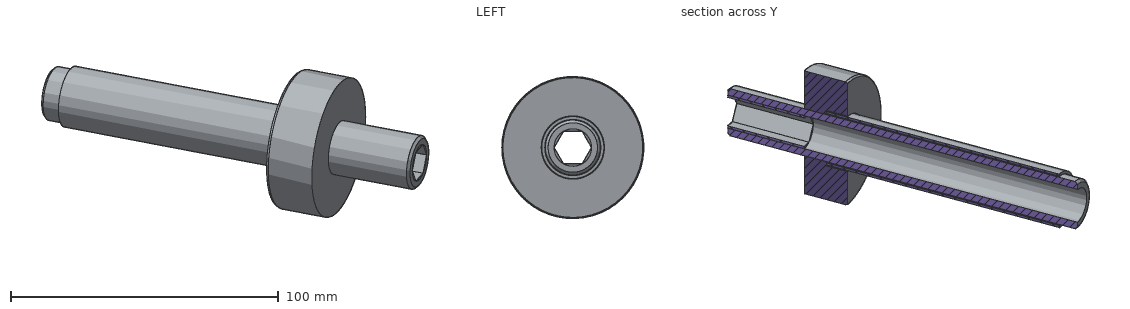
import cadquery as cq
import math

shaft_length = 148.6
shaft_diameter = 20.5
bore_diameter = 14.0
shaft_chamfer = 1.0

disc_diameter = 53.0
disc_start = 97.6
disc_thickness = 18.5
disc_chamfer_length = 0.9
disc_chamfer_depth = 0.5
disc_end = disc_start + disc_thickness
recess_depth = disc_thickness / 2
recess_floor = disc_start + recess_depth

sleeve_diameter = 23.2
sleeve_start = 7.7
sleeve_length = recess_floor - sleeve_start

diametral_clearance = 0.5
sleeve_bore_diameter = shaft_diameter + diametral_clearance
recess_diameter = sleeve_diameter + diametral_clearance

hex_across_flats = 12.0
hex_corner_diameter = hex_across_flats / math.cos(math.pi / 6)
insert_start = disc_end
insert_length = shaft_length - insert_start


def cylinder_along_x(start, length, diameter):
    """Solid cylinder on the X axis."""
    return cq.Workplane("YZ", origin=(start, 0, 0)).circle(diameter / 2).extrude(length)


def ring_along_x(start, length, outer_diameter, inner_diameter):
    """Plain ring on the X axis."""
    outer = cylinder_along_x(start, length, outer_diameter)
    return outer.cut(cylinder_along_x(start, length, inner_diameter))


def make_shaft():
    """Tube with both outer end edges chamfered."""
    solid_bar = cylinder_along_x(0, shaft_length, shaft_diameter)
    chamfered_bar = solid_bar.faces("<X or >X").edges().chamfer(shaft_chamfer)
    return chamfered_bar.cut(cylinder_along_x(0, shaft_length, bore_diameter))


def make_sleeve():
    """Plain tube that fits over the shaft."""
    return ring_along_x(sleeve_start, sleeve_length, sleeve_diameter, sleeve_bore_diameter)


def make_disc():
    """Disc bored to fit the shaft, with a sleeve recess and a chamfered rim on its -X side."""
    profile = (
        cq.Workplane("XY")
        .moveTo(disc_start, recess_diameter / 2)
        .lineTo(disc_start, disc_diameter / 2 - disc_chamfer_depth)
        .lineTo(disc_start + disc_chamfer_length, disc_diameter / 2)
        .lineTo(disc_end, disc_diameter / 2)
        .lineTo(disc_end, shaft_diameter / 2)
        .lineTo(recess_floor, shaft_diameter / 2)
        .lineTo(recess_floor, recess_diameter / 2)
        .close()
    )
    return profile.revolve(360, (0, 0, 0), (1, 0, 0))


def make_hex_insert():
    """Round liner with a hexagonal hole, two of its corners on the Y axis."""
    liner = cylinder_along_x(insert_start, insert_length, bore_diameter)
    hex_hole = (
        cq.Workplane("YZ", origin=(insert_start, 0, 0))
        .polygon(6, hex_corner_diameter)
        .extrude(insert_length)
    )
    return liner.cut(hex_hole)


shaft = make_shaft()
sleeve = make_sleeve()
disc = make_disc()
hex_insert = make_hex_insert()

result = cq.Compound.makeCompound([shaft.val(), sleeve.val(), disc.val(), hex_insert.val()])